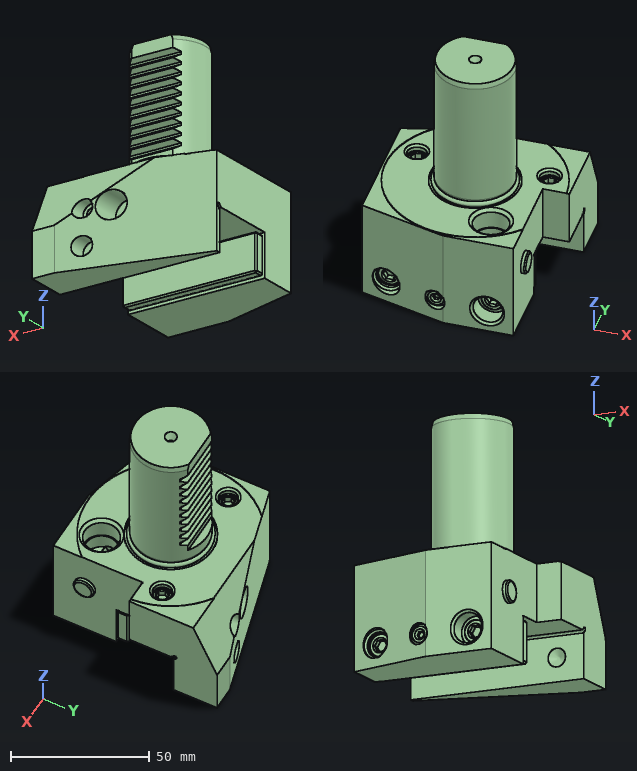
import cadquery as cq
import math

total_height = 95.0
face_height = 40.0
face_step = 0.2
face_radius = 34.0

block_width = 70.0
half_width = block_width / 2
back_y = 38.0
front_y = -35.0
left_back_y = 21.85
left_front_y = -26.0
notch_x = 25.0
notch_y = 1.9
outline_slope = math.tan(math.radians(15))
bevel_slope = math.tan(math.radians(25))
bevel_bottom_z = 18.7

slot_front_y = -9.0
slot_back_y = 19.95
slot_height = 18.05
relief_width = 1.3
relief_length = 0.95
jaw_thickness = 4.7
jaw_bottom_z = 1.0
jaw_top_z = 17.1
jaw_chamfer = 0.7
jaw_end_gap = 0.6

shank_radius = 15.0
shank_tip_height = 2.0
shank_tip_taper = 0.5
shank_neck_top_z = 42.5
shank_neck_taper = 0.3
centre_hole_radius = 2.3
centre_drill_radius = 0.7
centre_drill_depth = 4.75
flat_y = 12.0
flat_bottom_z = 47.1
tooth_pitch = 4.0
tooth_count = 10
tooth_depth = 2.1
tooth_root_width = 0.95
tooth_mouth_width = 3.9
top_tooth_z = 87.7

ring_section_radius = 1.2
ring_centre_radius = 14.8
ring_centre_z = 40.4
ring_groove_radius = 16.9
ring_groove_depth = 1.2

screw_z = 9.1
tool_clearance = 9.5
deep_bore_x = 15.0
left_bore_x = -25.1
middle_bore_x = -5.0
face_screw_x = 25.1
face_screw_y = 10.1
face_socket = dict(mouth_radius=2.5, width_across_flats=4.0, depth=2.85)
large_socket = dict(mouth_radius=2.85, width_across_flats=4.3, depth=2.85)
small_socket = dict(mouth_radius=2.0, width_across_flats=2.3, depth=1.9)
back_hole_radius = 4.0
coolant_z = 24.1
coolant_bore_radius = 2.4
coolant_hole_x = 12.5
coolant_hole_y = -21.8
coolant_hole_radius = 6.8
coolant_hole_mouth_radius = 8.1
coolant_hole_step_z = 31.8
coolant_hole_lower_radius = 6.5
coolant_hole_shoulder_z = 25.65
coolant_hole_tip_z = 22.1
coolant_bore_left_x = 4.75
back_hole_depth = 9.5
large_back_hole_x = 4.1
large_back_hole_z = 23.8
large_back_hole_radius = 5.9
large_back_hole_floor_y = 20.9
coolant_plug_radius = 4.2
coolant_plug_height = 1.8
coolant_plug_chamfer = 0.6
dimple_x = 24.1
dimple_radius = 3.5
dimple_depth = 2.0


def turned(points):
    """Solid turned about Z from (radius, z) points; the axis closes the outline."""
    return cq.Workplane("XZ").polyline(points).close().revolve(360, (0, 0), (0, 1))


def facing_front(tool, x, y, z):
    """Turn a Z-axis tool so that its +Z end faces -Y and move its origin to (x, y, z)."""
    return tool.rotate((0, 0, 0), (1, 0, 0), 90).translate((x, y, z))


def rod_y(radius, x, z, y_start, y_end):
    return facing_front(cq.Workplane("XY").circle(radius).extrude(y_end - y_start), x, y_end, z)


def rod_x(radius, y, z, x_start, x_end):
    return cq.Workplane("YZ", origin=(x_start, y, z)).circle(radius).extrude(x_end - x_start)


def make_block():
    back_run = (back_y - left_back_y) / outline_slope
    front_run = (left_front_y - front_y) / outline_slope
    outline = [
        (-half_width, left_front_y),
        (-half_width + front_run, front_y),
        (notch_x, front_y),
        (notch_x, notch_y),
        (half_width, notch_y),
        (half_width, back_y),
        (-half_width + back_run, back_y),
        (-half_width, left_back_y),
    ]
    prism = cq.Workplane("XY").polyline(outline).close().extrude(face_height)
    rest = cq.Workplane("XY").rect(4 * half_width, 4 * half_width).circle(face_radius)
    block = prism.cut(rest.extrude(face_step).translate((0, 0, face_height - face_step)))

    bevel_top_y = back_y - (face_height - bevel_bottom_z) * bevel_slope
    bevel = (
        cq.Workplane("YZ")
        .polyline([(back_y, bevel_bottom_z), (back_y, face_height), (bevel_top_y, face_height)])
        .close()
        .extrude(half_width, both=True)
    )
    return block.cut(bevel)


def make_slot():
    slot_width = slot_back_y - slot_front_y
    slot = cq.Workplane("XY").box(2 * half_width, slot_width, slot_height, centered=(True, False, False))
    slot = slot.translate((0, slot_front_y, 0))
    relief = (
        cq.Workplane("YZ", origin=(0, slot_back_y, slot_height))
        .slot2D(2 * relief_length + relief_width, relief_width, 45)
        .extrude(half_width, both=True)
    )
    return slot.union(relief)


def make_jaw():
    left_x = -half_width + jaw_end_gap
    right_x = notch_x - jaw_end_gap
    jaw = cq.Workplane("XY").box(
        right_x - left_x, jaw_thickness, jaw_top_z - jaw_bottom_z, centered=False
    )
    return jaw.edges().chamfer(jaw_chamfer).translate((left_x, slot_front_y, jaw_bottom_z))


def make_shank():
    foot_z = face_height - ring_groove_depth
    shank = turned([
        (0, foot_z),
        (shank_radius - shank_neck_taper, foot_z),
        (shank_radius, shank_neck_top_z),
        (shank_radius, total_height - shank_tip_height),
        (shank_radius - shank_tip_taper, total_height),
        (0, total_height),
    ])
    flat = cq.Workplane("XY").box(
        2 * shank_radius, shank_radius, total_height - flat_bottom_z, centered=(True, False, False)
    )
    shank = shank.cut(flat.translate((0, flat_y, flat_bottom_z)))

    for tooth in range(tooth_count):
        z = top_tooth_z - tooth * tooth_pitch
        groove = (
            cq.Workplane("YZ")
            .polyline([
                (flat_y, z + tooth_mouth_width / 2),
                (flat_y - tooth_depth, z + tooth_root_width / 2),
                (flat_y - tooth_depth, z - tooth_root_width / 2),
                (flat_y, z - tooth_mouth_width / 2),
            ])
            .close()
            .extrude(shank_radius, both=True)
        )
        shank = shank.cut(groove)

    cone_depth = (centre_hole_radius - centre_drill_radius) / math.tan(math.radians(30))
    centre = turned([
        (0, total_height),
        (centre_hole_radius, total_height),
        (centre_drill_radius, total_height - cone_depth),
        (centre_drill_radius, total_height - centre_drill_depth),
        (0, total_height - centre_drill_depth),
    ])
    return shank.cut(centre)


def make_ring():
    return (
        cq.Workplane("XZ")
        .center(ring_centre_radius, ring_centre_z)
        .circle(ring_section_radius)
        .revolve(360, (-ring_centre_radius, 0), (-ring_centre_radius, 1))
    )


def make_ring_groove():
    floor_z = face_height - ring_groove_depth
    return cq.Workplane("XY", origin=(0, 0, floor_z)).circle(ring_groove_radius).extrude(ring_groove_depth)


def make_hex_socket(mouth_radius, width_across_flats, depth):
    """Hexagon socket with a conical lead-in."""
    lead_in_depth = mouth_radius - width_across_flats / 2
    corner_diameter = width_across_flats / math.cos(math.radians(30))
    hexagon = cq.Workplane("XY", origin=(0, 0, -depth)).polygon(6, corner_diameter).extrude(depth)
    lead_in = turned([
        (0, -lead_in_depth),
        (width_across_flats / 2, -lead_in_depth),
        (mouth_radius, 0),
        (0, 0),
    ])
    return hexagon.union(lead_in)


def make_stepped_screw_bore(bore_radius, mouth_radius, end_radius, end_height, cone_top, socket):
    """Bore widened by a 45 degree cone, with a raised screw end standing on its floor."""
    bore = turned([
        (0, 0),
        (end_radius, 0),
        (end_radius, -end_height),
        (bore_radius, -end_height),
        (bore_radius, cone_top - (mouth_radius - bore_radius)),
        (mouth_radius, cone_top),
        (mouth_radius, cone_top + tool_clearance),
        (0, cone_top + tool_clearance),
    ])
    return bore.union(make_hex_socket(**socket))


def make_middle_screw_bore():
    """Shallow bore around a screw whose end has a bevelled edge."""
    bore_radius = 4.0
    bevel_radius = 3.0
    bevel_height = 0.8
    bore = turned([
        (0, 0),
        (bevel_radius, 0),
        (bore_radius, -bevel_height),
        (bore_radius, tool_clearance),
        (0, tool_clearance),
    ])
    return bore.union(make_hex_socket(**small_socket))


def cut_front_screws(body):
    left_end_y = -24.9
    left_cone_top = 1.6
    middle_end_y = -32.9
    deep_bore_depth = 6.65
    left_bore = make_stepped_screw_bore(
        bore_radius=4.75, mouth_radius=5.6, end_radius=4.2, end_height=0.4,
        cone_top=left_cone_top, socket=large_socket,
    )
    deep_bore = make_stepped_screw_bore(
        bore_radius=5.6, mouth_radius=6.6, end_radius=4.2, end_height=0.5,
        cone_top=deep_bore_depth, socket=large_socket,
    )
    body = body.cut(facing_front(left_bore, left_bore_x, left_end_y, screw_z))
    body = body.cut(facing_front(make_middle_screw_bore(), middle_bore_x, middle_end_y, screw_z))
    return body.cut(facing_front(deep_bore, deep_bore_x, front_y + deep_bore_depth, screw_z))


def cut_face_screws(body):
    depth = 2.1
    bore = make_stepped_screw_bore(
        bore_radius=3.7, mouth_radius=4.6, end_radius=3.2, end_height=0.4,
        cone_top=depth, socket=face_socket,
    )
    for side in (-1, 1):
        body = body.cut(bore.translate((side * face_screw_x, face_screw_y, face_height - depth)))
    return body


def cut_coolant_passages(body):
    mouth_depth = coolant_hole_mouth_radius - coolant_hole_radius
    inlet = turned([
        (0, coolant_hole_tip_z),
        (coolant_hole_lower_radius, coolant_hole_shoulder_z),
        (coolant_hole_lower_radius, coolant_hole_step_z),
        (coolant_hole_radius, coolant_hole_step_z),
        (coolant_hole_radius, face_height - mouth_depth),
        (coolant_hole_mouth_radius, face_height),
        (0, face_height),
    ]).translate((coolant_hole_x, coolant_hole_y, 0))
    side_bore = rod_x(coolant_bore_radius, coolant_hole_y, coolant_z, coolant_bore_left_x, notch_x)
    cross_bore = rod_y(coolant_bore_radius, deep_bore_x, coolant_z, coolant_hole_y, back_y)
    return body.cut(inlet).cut(side_bore).cut(cross_bore)


def cut_back_holes(body):
    for z in (screw_z, coolant_z):
        body = body.cut(rod_y(back_hole_radius, deep_bore_x, z, back_y - back_hole_depth, back_y))
    large_hole = rod_y(
        large_back_hole_radius, large_back_hole_x, large_back_hole_z, large_back_hole_floor_y, back_y
    )
    return body.cut(large_hole)


def cut_slot_dimple(body):
    dimple = turned([(0, -dimple_depth), (dimple_radius, 0), (0, 0)])
    return body.cut(facing_front(dimple, dimple_x, slot_back_y, screw_z))


def make_coolant_plug():
    """Plug closing the side passage, standing proud of the +X wall."""
    inner_length = 3.8
    plug = rod_x(
        coolant_plug_radius, coolant_hole_y, coolant_z,
        notch_x - inner_length, notch_x + coolant_plug_height,
    )
    return plug.faces(">X").chamfer(coolant_plug_chamfer)


body = make_block().cut(make_slot()).cut(make_ring_groove())
body = cut_front_screws(body)
body = cut_face_screws(body)
body = cut_coolant_passages(body)
body = cut_back_holes(body)
body = cut_slot_dimple(body)
body = body.union(make_jaw()).union(make_coolant_plug())
result = body.union(make_shank()).union(make_ring())